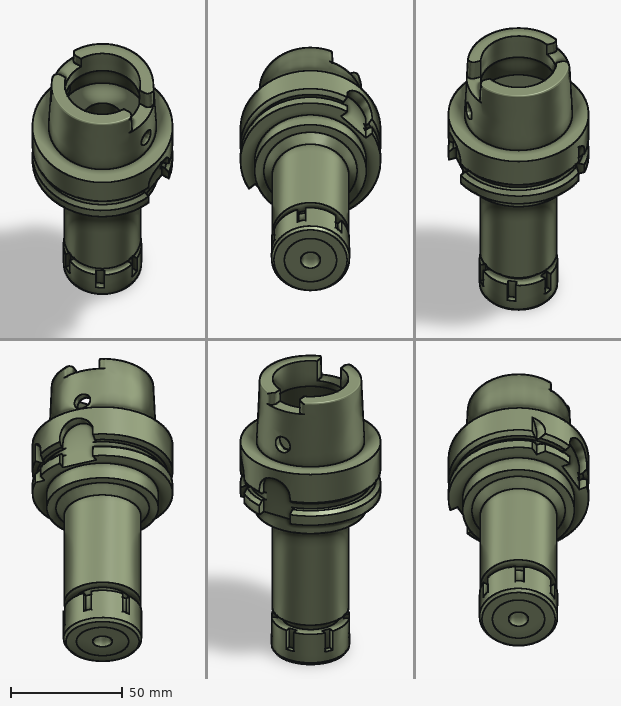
import cadquery as cq
import math

NUT_BOTTOM_Z = -137.0

TAPER_TOP_R = 22.9
TAPER_BOTTOM_R = 24.2
MOUTH_FILLET = 1.1
MOUTH_BORE_R = 17.0
UNDERCUT_R = 20.3
UNDERCUT_TOP_Z = -13.0
SOCKET_FLOOR_Z = -26.9
CROSS_HOLE_R = 3.8
CROSS_HOLE_Z = -22.7

DRIVE_SLOT_W = 12.6
DRIVE_SLOT_FILLET = 2.5
DRIVE_SLOTS = [(-1, 5.9), (1, 10.0)]

FLANGE_R = 31.5
FLANGE_TOP_Z = -31.9
FLANGE_BOTTOM_Z = -57.8
GROOVE_R = 27.5
GROOVE_TOP_Z = -48.0
GROOVE_BOTTOM_Z = -51.5
GROOVE_LIP_R = 29.5
GROOVE_LIP_H = 1.6

KEYWAY_R = 8.1
KEYWAY_ARC_Z = -44.7
KEYWAY_FLOOR_X = 26.7
INDEX_NOTCH_OFFSET = 20.0

COLLAR_R = 25.1
COLLAR_BOTTOM_Z = -65.6
CONE_TOP_R = 21.0
SHAFT_TOP_Z = -69.7
SHAFT_R = 17.3
SHAFT_BOTTOM_Z = -116.5
NECK_R = 13.0
NECK_BOTTOM_Z = -128.8

NUT_R = 17.5
NUT_TOP_Z = -121.0
NUT_CHAMFER_R = 1.1
NUT_CHAMFER_H = 1.5
NUT_SLOT_COUNT = 6
NUT_SLOT_W = 3.8
NUT_SLOT_H = 9.6
NUT_SLOT_FLOOR_R = 15.0

COLLET_TOP_R = 9.0
COLLET_TOP_Z = -109.6
COLLET_ANGLE = 8.0
COLLET_BORE_R = 4.4
COLLET_CONE_H = COLLET_TOP_Z - NECK_BOTTOM_Z
COLLET_SEAT_R = COLLET_TOP_R + COLLET_CONE_H * math.tan(math.radians(COLLET_ANGLE))


def revolved(points):
    """Solid of revolution about Z from a closed (radius, z) outline."""
    return cq.Workplane("XZ").polyline(points).close().revolve(360, (0, 0), (0, 1))


def drive_slot(side, depth):
    """Slot cutter through the shank wall on the -X (side = -1) or +X (side = 1) side."""
    return (
        cq.Workplane("XY")
        .box(FLANGE_R, DRIVE_SLOT_W, depth, centered=(True, True, False))
        .translate((side * FLANGE_R / 2, 0, -depth))
    )


def slot_wall_edges(side, depth):
    """Selector for the two upright edges where a drive slot leaves the taper."""
    middle_z = -depth / 2
    margin = depth / 4
    return cq.selectors.BoxSelector(
        (side * MOUTH_BORE_R, -DRIVE_SLOT_W, middle_z - margin),
        (side * FLANGE_R, DRIVE_SLOT_W, middle_z + margin),
    )


def keyway(side, floor_x, center_y):
    """Round-topped cutter running along X, from the floor out past the flange."""
    height = KEYWAY_ARC_Z - FLANGE_BOTTOM_Z
    straight = (
        cq.Workplane("XY")
        .box(FLANGE_R, 2 * KEYWAY_R, height, centered=(False, True, False))
        .translate((0, 0, FLANGE_BOTTOM_Z))
    )
    arc_end = cq.Workplane("YZ").center(0, KEYWAY_ARC_Z).circle(KEYWAY_R).extrude(FLANGE_R)
    cutter = straight.union(arc_end)
    start_x = floor_x if side > 0 else -floor_x - FLANGE_R
    return cutter.translate((start_x, center_y, 0))


def make_shank():
    """Hollow taper with two drive slots and rounded mouth edges."""
    taper = revolved([
        (0, 0),
        (TAPER_TOP_R, 0),
        (TAPER_BOTTOM_R, FLANGE_TOP_Z),
        (0, FLANGE_TOP_Z),
    ])
    socket = revolved([
        (0, 0),
        (MOUTH_BORE_R, 0),
        (MOUTH_BORE_R, UNDERCUT_TOP_Z),
        (UNDERCUT_R, UNDERCUT_TOP_Z),
        (UNDERCUT_R, SOCKET_FLOOR_Z),
        (0, SOCKET_FLOOR_Z),
    ])
    shank = taper.cut(socket)
    for side, depth in DRIVE_SLOTS:
        shank = shank.cut(drive_slot(side, depth))
    for side, depth in DRIVE_SLOTS:
        shank = shank.edges(slot_wall_edges(side, depth)).fillet(DRIVE_SLOT_FILLET)

    rounded_taper = taper.faces(">Z").edges().fillet(MOUTH_FILLET)
    return shank.intersect(rounded_taper)


def make_holder():
    """Shank, flange, collar, shaft and neck in one solid, bored for the collet."""
    body = revolved([
        (0, FLANGE_TOP_Z),
        (FLANGE_R, FLANGE_TOP_Z),
        (FLANGE_R, GROOVE_TOP_Z + GROOVE_LIP_H),
        (GROOVE_LIP_R, GROOVE_TOP_Z),
        (GROOVE_R, GROOVE_TOP_Z),
        (GROOVE_R, GROOVE_BOTTOM_Z),
        (GROOVE_LIP_R, GROOVE_BOTTOM_Z),
        (FLANGE_R, GROOVE_BOTTOM_Z - GROOVE_LIP_H),
        (FLANGE_R, FLANGE_BOTTOM_Z),
        (COLLAR_R, FLANGE_BOTTOM_Z),
        (COLLAR_R, COLLAR_BOTTOM_Z),
        (CONE_TOP_R, COLLAR_BOTTOM_Z),
        (SHAFT_R, SHAFT_TOP_Z),
        (SHAFT_R, SHAFT_BOTTOM_Z),
        (NECK_R, SHAFT_BOTTOM_Z),
        (NECK_R, NECK_BOTTOM_Z),
        (0, NECK_BOTTOM_Z),
    ])
    for side in (-1, 1):
        body = body.cut(keyway(side, KEYWAY_FLOOR_X, 0))
    body = body.cut(keyway(-1, INDEX_NOTCH_OFFSET, INDEX_NOTCH_OFFSET + KEYWAY_R))

    holder = make_shank().union(body)

    through_bore = revolved([
        (0, SOCKET_FLOOR_Z),
        (COLLET_TOP_R, SOCKET_FLOOR_Z),
        (COLLET_TOP_R, COLLET_TOP_Z),
        (COLLET_SEAT_R, NECK_BOTTOM_Z),
        (0, NECK_BOTTOM_Z),
    ])
    cross_hole = (
        cq.Workplane("YZ")
        .center(0, CROSS_HOLE_Z)
        .circle(CROSS_HOLE_R)
        .extrude(FLANGE_R, both=True)
    )
    return holder.cut(through_bore).cut(cross_hole)


def make_nut():
    """Nut ring around the neck, with hook-wrench slots open at the top."""
    nut = revolved([
        (NECK_R, NUT_TOP_Z),
        (NUT_R, NUT_TOP_Z),
        (NUT_R, NUT_BOTTOM_Z + NUT_CHAMFER_H),
        (NUT_R - NUT_CHAMFER_R, NUT_BOTTOM_Z),
        (COLLET_SEAT_R, NUT_BOTTOM_Z),
        (COLLET_SEAT_R, NECK_BOTTOM_Z),
        (NECK_R, NECK_BOTTOM_Z),
    ])
    slot = (
        cq.Workplane("XY")
        .box(NUT_R, NUT_SLOT_W, NUT_SLOT_H, centered=(False, True, False))
        .translate((NUT_SLOT_FLOOR_R, 0, NUT_TOP_Z - NUT_SLOT_H))
    )
    for index in range(NUT_SLOT_COUNT):
        nut = nut.cut(slot.rotate((0, 0, 0), (0, 0, 1), index * 360 / NUT_SLOT_COUNT))
    return nut


def make_collet():
    """Bored collet: a cone in the holder seat and a straight end in the nut."""
    return revolved([
        (COLLET_BORE_R, COLLET_TOP_Z),
        (COLLET_TOP_R, COLLET_TOP_Z),
        (COLLET_SEAT_R, NECK_BOTTOM_Z),
        (COLLET_SEAT_R, NUT_BOTTOM_Z),
        (COLLET_BORE_R, NUT_BOTTOM_Z),
    ])


holder = make_holder()
nut = make_nut()
collet = make_collet()

result = cq.Compound.makeCompound([holder.solids().val(), nut.solids().val(), collet.val()])